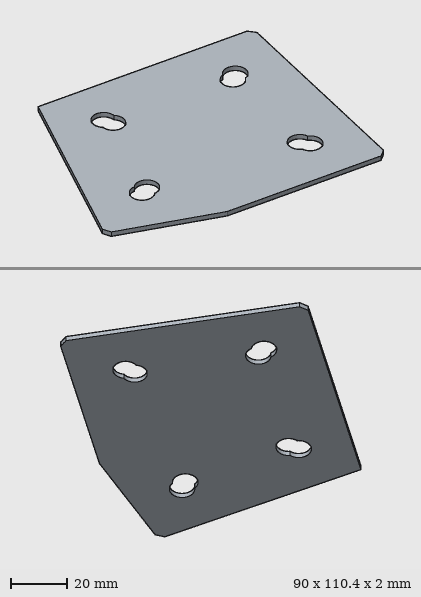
import cadquery as cq
import math

side = 90.0
overall_height = 110.4
thickness = 2.0
skew_angle = 15.0
corner_cut = 2.5

hole_diameter = 9.0
hole_pair_spacing = 3.8
upper_opening_x = 23.8
upper_opening_y = 34.0
lower_left_opening = (-24.2, -18.4)
lower_right_opening = (18.3, -29.8)

skew_sine = math.sin(math.radians(skew_angle))
skew_cosine = math.cos(math.radians(skew_angle))
half_width = side / 2
top = overall_height / 2
left_bottom = top - side


def plate():
    """Five-sided sheet with chamfers on its right-angled corners."""
    bottom_edge_length = (overall_height - side) / skew_sine + corner_cut
    tip_x = -half_width + bottom_edge_length * skew_cosine
    tip_y = left_bottom - bottom_edge_length * skew_sine
    right_bend_y = tip_y + (half_width - tip_x) * skew_cosine / skew_sine
    outline = [
        (-half_width, left_bottom),
        (tip_x, tip_y),
        (half_width, right_bend_y),
        (half_width, top),
        (-half_width, top),
    ]
    sheet = cq.Workplane("XY").polyline(outline).close().extrude(thickness)
    return sheet.edges("(|Z and >Y) or (|Z and <Y)").chamfer(corner_cut)


def opening(center, angle):
    """Cutter for a pair of overlapping holes, lined up at the given angle."""
    offset_x = hole_pair_spacing / 2 * math.cos(math.radians(angle))
    offset_y = hole_pair_spacing / 2 * math.sin(math.radians(angle))
    cutter = cq.Workplane("XY")
    for direction in (-1, 1):
        hole_center = (center[0] + direction * offset_x, center[1] + direction * offset_y)
        hole = cq.Workplane("XY").center(*hole_center).circle(hole_diameter / 2).extrude(thickness)
        cutter = cutter.union(hole)
    return cutter


openings = [
    ((-upper_opening_x, upper_opening_y), -45),
    ((upper_opening_x, upper_opening_y), 45),
    (lower_left_opening, 45 - skew_angle),
    (lower_right_opening, -45 - skew_angle),
]

result = plate()
for opening_center, opening_angle in openings:
    result = result.cut(opening(opening_center, opening_angle))